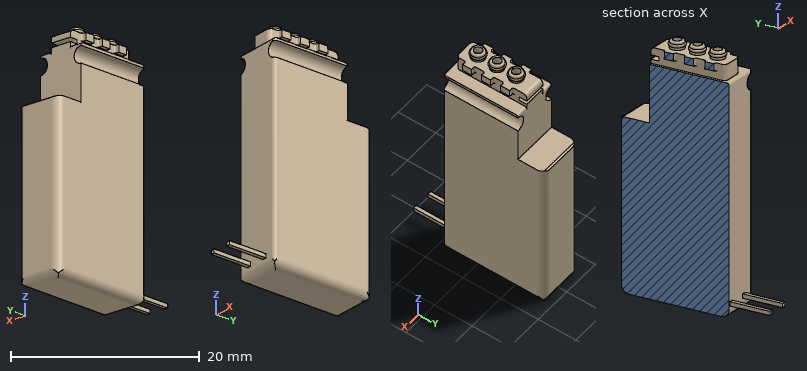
import cadquery as cq

housing_width = 5.9
housing_depth = 13.5
ledge_height = 20.3
shelf_depth = 10.0
shelf_height = 27.05
large_radius = 1.0
small_radius = 0.4
shelf_edge_radius = 0.3
ledge_bevel_depth = 0.25
ledge_bevel_drop = 0.1

groove_radius = 1.0
groove_height = 25.7

pitch = 2.54
contact_pin_size = 0.5
contact_pin_length = 5.0
contact_pin_height = 1.65

block_width = 2.8
block_front = 0.6
block_top = 28.9
block_radius = 0.5
tab_span = 3.9
tab_width = 1.2
tab_bottom = 28.0
tab_root_radius = 0.2
slot_bottom = 27.5
slot_top = 28.0
slot_depth = 1.05
slot_radius = 0.15

stud_diameter = 1.7
stud_hole_diameter = 1.0
stud_top = 29.85
stud_edge_radius = 0.2
stud_ring_radius = 0.2
stud_ring_center = 0.77
middle_stud_y = 5.0
stud_positions = [middle_stud_y + step * pitch for step in (-1, 0, 1)]


def make_housing():
    """Common volume of a side outline, a front outline and a plan outline."""
    side = (
        cq.Workplane("YZ")
        .rect(housing_depth, ledge_height, centered=False)
        .extrude(housing_width / 2, both=True)
        .edges("|X and <Z")
        .fillet(large_radius)
        .edges("|X and >Y and >Z")
        .chamfer(ledge_bevel_drop, ledge_bevel_depth)
    )
    tower = (
        cq.Workplane("YZ", origin=(0, 0, ledge_height / 2))
        .rect(shelf_depth, shelf_height - ledge_height / 2, centered=False)
        .extrude(housing_width / 2, both=True)
        .edges("|X and >Z")
        .fillet(shelf_edge_radius)
    )
    front = (
        cq.Workplane("XY")
        .box(housing_width, housing_depth, shelf_height, centered=(True, False, False))
        .edges("|Y and <Z")
        .fillet(large_radius)
    )
    plan = (
        cq.Workplane("XY")
        .box(housing_width, housing_depth, shelf_height, centered=(True, False, False))
        .edges("|Z and >Y")
        .fillet(large_radius)
        .edges("|Z and <Y")
        .fillet(small_radius)
    )
    grooves = (
        cq.Workplane("XZ")
        .pushPoints([(side_sign * housing_width / 2, groove_height) for side_sign in (-1, 1)])
        .circle(groove_radius)
        .extrude(-housing_depth)
    )
    return side.union(tower).intersect(front).intersect(plan).cut(grooves)


def make_contact_pins():
    """Two square pins standing out of the front face."""
    return (
        cq.Workplane("XZ")
        .pushPoints([(side_sign * pitch / 2, contact_pin_height) for side_sign in (-1, 1)])
        .rect(contact_pin_size, contact_pin_size)
        .extrude(contact_pin_length)
    )


def make_tab(stud_y):
    """Cross bar through the block, flared by a concave radius where it meets each side."""
    root_x = block_width / 2
    tip_x = tab_span / 2
    root_y = tab_width / 2 + tab_root_radius
    half_bar = (
        cq.Workplane("XY", origin=(0, 0, tab_bottom))
        .moveTo(0, -root_y)
        .lineTo(root_x, -root_y)
        .radiusArc((root_x + tab_root_radius, -tab_width / 2), tab_root_radius)
        .lineTo(tip_x, -tab_width / 2)
        .lineTo(tip_x, tab_width / 2)
        .lineTo(root_x + tab_root_radius, tab_width / 2)
        .radiusArc((root_x, root_y), tab_root_radius)
        .lineTo(0, root_y)
        .close()
        .extrude(block_top - tab_bottom)
    )
    return half_bar.union(half_bar.mirror("YZ")).translate((0, stud_y, 0))


def make_block():
    """Connector block, sunk past the rounded rear edge of the shelf, with a slot across its back."""
    block_bottom = shelf_height - shelf_edge_radius
    block_length = shelf_depth - block_front
    block = (
        cq.Workplane("XY", origin=(0, block_front, block_bottom))
        .box(block_width, block_length, block_top - block_bottom, centered=(True, False, False))
        .edges("(|Z and <Y) or (|X and >Y and >Z)")
        .fillet(block_radius)
    )
    for stud_y in stud_positions:
        block = block.union(make_tab(stud_y))
    slot = (
        cq.Workplane("XY", origin=(0, shelf_depth - slot_depth, slot_bottom))
        .box(block_width, slot_depth, slot_top - slot_bottom, centered=(True, False, False))
        .edges("|X and <Y")
        .fillet(slot_radius)
    )
    return block.cut(slot)


def make_stud(stud_y):
    """Hollow round stud with a rounded rim and a bulging ring at mid height."""
    stud_height = stud_top - block_top
    stud = (
        cq.Workplane("XY")
        .circle(stud_diameter / 2)
        .extrude(stud_height)
        .faces(">Z")
        .edges()
        .fillet(stud_edge_radius)
    )
    ring = (
        cq.Workplane("XZ")
        .center(stud_ring_center, stud_height / 2)
        .moveTo(0, -stud_ring_radius)
        .threePointArc((stud_ring_radius, 0), (0, stud_ring_radius))
        .close()
        .revolve(360, (-stud_ring_center, 0), (-stud_ring_center, 1))
    )
    hole = cq.Workplane("XY").circle(stud_hole_diameter / 2).extrude(stud_height)
    return stud.union(ring).cut(hole).translate((0, stud_y, block_top))


result = make_housing().union(make_contact_pins()).union(make_block())
for stud_y in stud_positions:
    result = result.union(make_stud(stud_y))